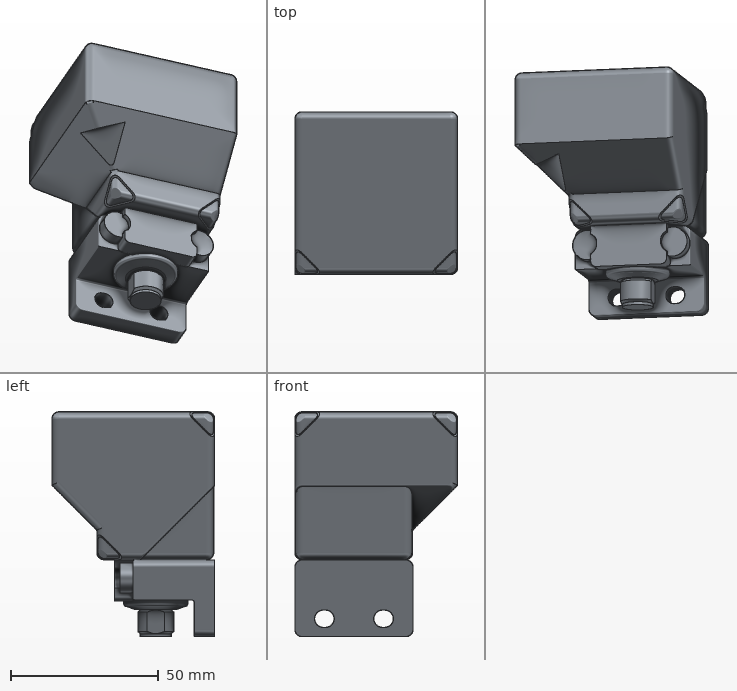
import cadquery as cq

head_width = 55.1
total_height = 76.15
shaft_width = 39.9
body_bottom = 26.05
slope_bottom = 36.1
slope_top = slope_bottom + head_width - shaft_width
edge_radius = 2.5

cover_top = 51.2
cover_inset = 0.3
parting_radius = 0.75

lens_reach = 9.8
lens_inset = 0.45
lens_flat_reach = 5.6
lens_flat_radius = 0.45
lens_block = 15.2

bracket_width = 40.05
plate_thickness = 6.9
arm_depth = 27.6
arm_bottom = 12.4
bracket_inner_radius = 0.9
bracket_rim_radius = 0.3
slot_spacing = bracket_width / 2
slot_length = 6.55
slot_height = 5.8
slot_z = 6.1

block_width = 26.35
block_bottom = 12.0
block_back = 34.0
block_radius = 1.8
screw_spacing = 29.7
screw_radius = 5.0
screw_back = 32.05
screw_z = 19.9
notch_radius = 3.8

connector_y = 19.95
flange_radius = 10.9
flange_rim_bottom = 11.3
flange_round = 1.1
cone_radius = 6.85
nut_radius = 6.1
nut_top = 9.1
nut_chamfer_height = 0.8
nut_bottom = 1.8
nut_flats = 10.65
nut_end_radius = 5.25
nut_end_height = 1.0

center_x = bracket_width / 2


def side_outline(plane):
    """Outline of the wide head narrowing at 45 degrees to the shaft, on XZ or YZ."""
    return (
        cq.Workplane(plane)
        .moveTo(0, body_bottom)
        .lineTo(shaft_width, body_bottom)
        .lineTo(shaft_width, slope_bottom)
        .lineTo(head_width, slope_top)
        .lineTo(head_width, total_height)
        .lineTo(0, total_height)
        .close()
    )


def make_front_wedge():
    """Space below the 45 degree parting cut at the front."""
    return (
        cq.Workplane("YZ")
        .polyline([(0, 0), (cover_top, 0), (0, cover_top)])
        .close()
        .extrude(head_width)
    )


def make_body():
    """Head and shaft, rounded except at the bends of the sloping faces, cut off at the front."""
    body = side_outline("XZ").extrude(-head_width).intersect(side_outline("YZ").extrude(head_width))

    def is_rounded(edge):
        z = edge.Center().z
        return min(abs(z - slope_bottom), abs(z - slope_top)) > 0.01

    rounded_edges = [edge for edge in body.edges().vals() if is_rounded(edge)]
    body = body.newObject(rounded_edges).fillet(edge_radius).cut(make_front_wedge())
    parting_center = (shaft_width / 2, cover_top / 4, 3 * cover_top / 4)
    parting_face = cq.selectors.NearestToPointSelector(parting_center)
    return body.faces(parting_face).edges().fillet(parting_radius)


def make_front_cover():
    """Lower front cover, slightly smaller than the shaft it closes."""
    cover_width = shaft_width - 2 * cover_inset
    cover = (
        cq.Workplane("XY", origin=(cover_inset, cover_inset, body_bottom))
        .rect(cover_width, cover_width, centered=False)
        .extrude(cover_top)
        .edges("|Z or <Z")
        .fillet(edge_radius)
    )
    return cover.intersect(make_front_wedge())


def corner_space(reach):
    """Space around the origin cut off by the plane x + y + z = reach."""
    plane = cq.Plane(origin=(reach / 3, reach / 3, reach / 3), xDir=(1, -1, 0), normal=(-1, -1, -1))
    return cq.Workplane(plane).rect(3 * lens_block, 3 * lens_block).extrude(lens_block)


def make_lens():
    """Inset rounded corner with a flat tip, for a corner at the origin."""
    rounded = (
        cq.Workplane("XY", origin=(lens_inset, lens_inset, lens_inset))
        .box(lens_block, lens_block, lens_block, centered=False)
        .edges("(<X and <Y) or (<X and <Z) or (<Y and <Z)")
        .fillet(edge_radius - lens_inset)
    )
    flat_center = cq.selectors.NearestToPointSelector((lens_flat_reach / 3,) * 3)
    lens = rounded.cut(corner_space(lens_flat_reach)).faces(flat_center).edges().fillet(lens_flat_radius)
    return lens.intersect(corner_space(lens_reach))


def place_in_corner(shape, corner, flipped_planes):
    """Turn a shape made for the origin corner around and move it to another corner."""
    for plane in flipped_planes:
        shape = shape.mirror(plane)
    return shape.translate(corner)


def fit_corner_lenses(body):
    corners = [
        ((0, 0, total_height), ["XY"]),
        ((head_width, 0, total_height), ["XY", "YZ"]),
        ((0, shaft_width, body_bottom), ["XZ"]),
        ((shaft_width, shaft_width, body_bottom), ["XZ", "YZ"]),
    ]
    for corner, flipped_planes in corners:
        body = body.cut(place_in_corner(corner_space(lens_reach), corner, flipped_planes))
        body = body.union(place_in_corner(make_lens(), corner, flipped_planes))
    return body


def make_bracket():
    """L-shaped bracket with two mounting slots in its upright plate."""
    bracket = (
        cq.Workplane("YZ")
        .lineTo(plate_thickness, 0)
        .lineTo(plate_thickness, arm_bottom)
        .lineTo(arm_depth, arm_bottom)
        .lineTo(arm_depth, body_bottom)
        .lineTo(0, body_bottom)
        .close()
        .extrude(bracket_width)
    )
    inner_corner = cq.selectors.NearestToPointSelector((center_x, plate_thickness, arm_bottom))
    bracket = bracket.edges(inner_corner).fillet(bracket_inner_radius)
    bracket = bracket.edges("|Y and (<Z or >Z)").fillet(edge_radius)

    def is_rear_rim(edge):
        middle = edge.Center()
        behind_plate_middle = middle.y > 0.75 * plate_thickness
        return behind_plate_middle and middle.z < body_bottom - edge_radius

    side_edges = bracket.faces("<X or >X").edges().vals()
    rear_rim = [edge for edge in side_edges if is_rear_rim(edge)]
    bracket = bracket.newObject(rear_rim).fillet(bracket_rim_radius)
    slots = (
        cq.Workplane("XZ", origin=(center_x, 0, slot_z))
        .rarray(slot_spacing, 0.75, 2, 1)
        .slot2D(slot_length, slot_height)
        .extrude(-plate_thickness)
    )
    return bracket.cut(slots)


def make_rear_fittings():
    """Block behind the bracket arm, notched around the axes of two screw heads."""
    block_depth = block_back - arm_depth
    block = (
        cq.Workplane("XY", origin=(center_x - block_width / 2, arm_depth, block_bottom))
        .box(block_width, block_depth, body_bottom - block_bottom, centered=False)
        .edges("|Y and <Z")
        .fillet(block_radius)
    )
    screw_axes = (
        cq.Workplane("XZ", origin=(center_x, arm_depth, screw_z))
        .rarray(screw_spacing, 0.75, 2, 1)
    )
    notches = screw_axes.circle(notch_radius).extrude(arm_depth - block_back)
    screws = screw_axes.circle(screw_radius).extrude(arm_depth - screw_back)
    return block.cut(notches).union(screws)


def make_connector():
    """Round flange, flatted nut and end ring around a vertical axis."""
    turned = (
        cq.Workplane("XZ")
        .lineTo(nut_end_radius, 0)
        .lineTo(nut_end_radius, nut_end_height)
        .lineTo(nut_radius, nut_bottom)
        .lineTo(nut_radius, nut_top - nut_chamfer_height)
        .lineTo(nut_end_radius, nut_top)
        .lineTo(cone_radius, nut_top)
        .lineTo(flange_radius - flange_round, flange_rim_bottom - flange_round)
        .radiusArc((flange_radius, flange_rim_bottom), -flange_round)
        .lineTo(flange_radius, arm_bottom)
        .lineTo(0, arm_bottom)
        .close()
        .revolve(360, (0, 0, 0), (0, 1, 0))
    )
    nut_space = cq.Workplane("XY").rect(4 * nut_radius, 4 * nut_radius).extrude(nut_top)
    nut_core = cq.Workplane("XY").rect(nut_flats, 4 * nut_radius).extrude(nut_top)
    return turned.cut(nut_space.cut(nut_core)).translate((center_x, connector_y, 0))


body = make_body().union(make_front_cover())
result = (
    fit_corner_lenses(body)
    .union(make_bracket())
    .union(make_rear_fittings())
    .union(make_connector())
)